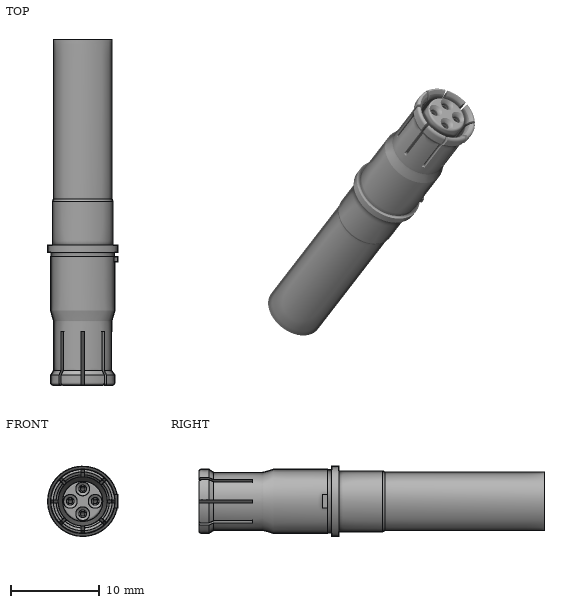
import cadquery as cq
import math

length = 39.25

rear_radius = 3.35
middle_radius = 3.45
flange_diameter = 7.95
flange_radius = flange_diameter / 2
body_radius = 3.65
shoulder_radius = 3.6
nose_radius = 3.3
rear_bevel = 0.008

lip_taper_start = 1.15
lip_taper_end = 1.7
neck_start = 7.25
neck_end = 8.48
body_end = 14.6
flange_start = 15.05
flange_end = 15.9
middle_end = 20.85
rear_start = 21.1
lip_round = 0.3
rear_bevel_length = 0.47

rim_radius = body_radius - lip_round
lip_bore_radius = 3.02
lip_bore_depth = 0.35
bore_radius = 2.8
bore_taper_depth = 0.95
seat_start = 6.47
seat_end = 7.05

insert_radius = 2.28
insert_face = 0.0
insert_edge_round = 0.25

cavity_count = 4
cavity_circle_radius = 1.4
cavity_radius = 0.8
funnel_depth = 0.45
contact_radius = 0.45
contact_depth = 0.3
pin_radius = 0.27
pin_depth = 2.35
pin_point_depth = 0.27

slot_count = 8
slot_width = 0.35
slot_depth = 6.1
key_width = 1.55
key_length = 0.6


def turned(sketch):
    """Revolve a closed outline drawn as (radius, Y) about the Y axis."""
    return sketch.close().revolve(360, (0, 0, 0), (0, 1, 0))


def make_shell():
    """Sleeve with a bored nose and a solid rear, rounded at the lip."""
    diagonal = lip_round * math.sqrt(0.5)
    round_middle = (rim_radius + diagonal, lip_round - diagonal)
    outline = (
        cq.Workplane("XY")
        .moveTo(rim_radius, 0)
        .threePointArc(round_middle, (body_radius, lip_round))
        .lineTo(body_radius, lip_taper_start)
        .lineTo(nose_radius, lip_taper_end)
        .lineTo(nose_radius, neck_start)
        .lineTo(body_radius, neck_end)
        .lineTo(body_radius, body_end)
        .lineTo(shoulder_radius, body_end)
        .lineTo(shoulder_radius, flange_start)
        .lineTo(flange_radius, flange_start)
        .lineTo(flange_radius, flange_end)
        .lineTo(middle_radius, flange_end)
        .lineTo(middle_radius, middle_end)
        .lineTo(rear_radius, rear_start)
        .lineTo(rear_radius, length - rear_bevel_length)
        .lineTo(rear_radius - rear_bevel, length)
        .lineTo(0, length)
        .lineTo(0, seat_end)
        .lineTo(insert_radius, seat_end)
        .lineTo(bore_radius, seat_start)
        .lineTo(bore_radius, bore_taper_depth)
        .lineTo(lip_bore_radius, lip_bore_depth)
    )
    return turned(outline)


def make_slot_blade():
    """Radial blade on the +X side that opens one slot through the nose wall."""
    blade_height = flange_radius - insert_radius
    blade = cq.Workplane("XY").box(blade_height, slot_depth, slot_width, centered=(False, False, True))
    return blade.translate((insert_radius, 0, 0))


def make_insert():
    """Plug inside the nose, flush with the mating face and rounded at its front edge."""
    diagonal = insert_edge_round * math.sqrt(0.5)
    round_centre_radius = insert_radius - insert_edge_round
    round_centre_y = insert_face + insert_edge_round
    outline = (
        cq.Workplane("XY")
        .moveTo(0, insert_face)
        .lineTo(round_centre_radius, insert_face)
        .threePointArc(
            (round_centre_radius + diagonal, round_centre_y - diagonal),
            (insert_radius, round_centre_y),
        )
        .lineTo(insert_radius, seat_end)
        .lineTo(0, seat_end)
    )
    return turned(outline)


def make_cavity():
    """Funnel mouth, contact bore and pin hole on the Y axis."""
    funnel_end = insert_face + funnel_depth
    contact_end = funnel_end + contact_depth
    pin_end = contact_end + pin_depth
    outline = (
        cq.Workplane("XY")
        .moveTo(0, insert_face)
        .lineTo(cavity_radius, insert_face)
        .lineTo(contact_radius, funnel_end)
        .lineTo(contact_radius, contact_end)
        .lineTo(pin_radius, contact_end)
        .lineTo(pin_radius, pin_end)
        .lineTo(0, pin_end + pin_point_depth)
    )
    return turned(outline)


def make_key():
    """Small block on the +X side, just ahead of the shoulder, flush with the flange."""
    key = cq.Workplane("XY").box(
        flange_radius - nose_radius, key_length, key_width, centered=(False, False, True)
    )
    return key.translate((nose_radius, body_end - key_length, 0))


def around_axis(feature, count):
    """Copies of a feature, evenly spaced about the Y axis."""
    return [feature.rotate((0, 0, 0), (0, 1, 0), i * 360 / count) for i in range(count)]


result = make_shell()
for blade in around_axis(make_slot_blade(), slot_count):
    result = result.cut(blade)

result = result.union(make_insert()).union(make_key())

cavity_on_circle = make_cavity().translate((cavity_circle_radius, 0, 0))
for cavity in around_axis(cavity_on_circle, cavity_count):
    result = result.cut(cavity)